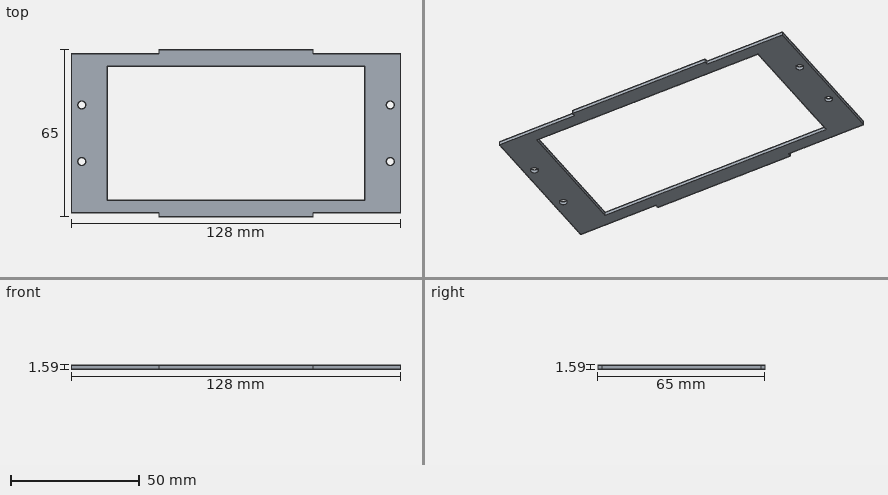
import cadquery as cq

plate_length = 128.0
plate_width = 62.0
thickness = 1.59

tab_length = 60.0
width_over_tabs = 65.0

window_length = 100.0
window_width = 52.0

hole_diameter = 3.0
hole_spacing_x = 120.0
hole_spacing_y = 22.0


def centred_slab(length, width):
    """Slab of the plate thickness, centred in X and Y and resting on Z = 0."""
    return cq.Workplane("XY").rect(length, width).extrude(thickness)


def mounting_holes():
    """Four through-hole cylinders on a rectangular pattern."""
    return (
        cq.Workplane("XY")
        .rect(hole_spacing_x, hole_spacing_y, forConstruction=True)
        .vertices()
        .circle(hole_diameter / 2)
        .extrude(thickness)
    )


plate = centred_slab(plate_length, plate_width)
tabs = centred_slab(tab_length, width_over_tabs)
window = centred_slab(window_length, window_width)

result = plate.union(tabs).cut(window).cut(mounting_holes())